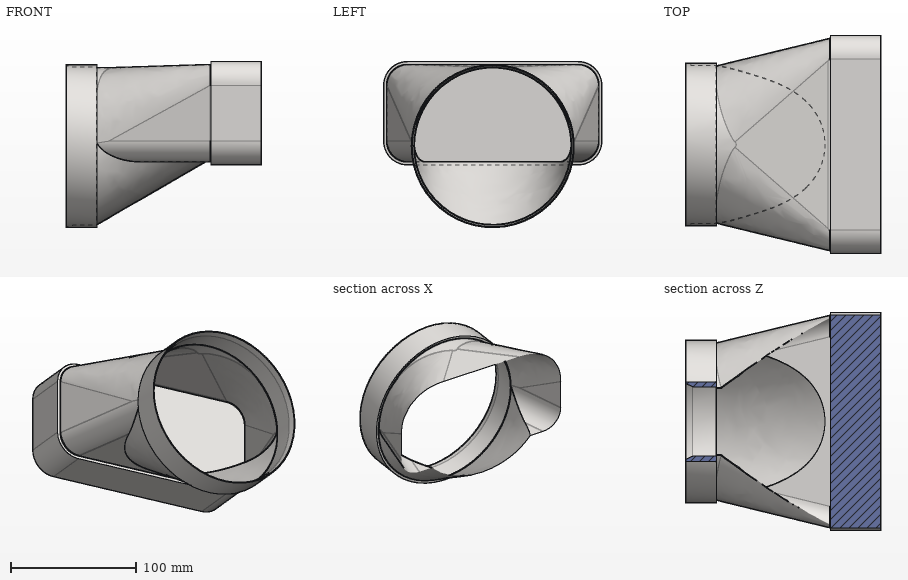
import cadquery as cq
import math


ROUND_RADIUS = 65.0
ROUND_LENGTH = 24.6
SOCKET_RADIUS = 63.0
SOCKET_DEPTH = 24.0
MOUTH_RADIUS = 64.2
MOUTH_LENGTH = 5.6

TOTAL_LENGTH = 155.5
FLAT_WIDTH = 174.06
FLAT_TOP = 67.48
FLAT_HEIGHT = 82.48
FLAT_CORNER = 19.0
FLAT_LENGTH = 40.2
FLAT_START = TOTAL_LENGTH - FLAT_LENGTH

BODY_RADIUS = 62.9
BODY_STEP = 2.25
BODY_WALL = 0.5
RIM_LENGTH = 0.5
BODY_START = ROUND_LENGTH
BODY_END = FLAT_START - RIM_LENGTH
BODY_LENGTH = BODY_END - BODY_START

TOP_APEX_RUN = 12.3
SIDE_APEX_RUN = 9.3
CROWN_DROP = 0.5
TOP_LEDGE = 1.2

RAMP_HALF_WIDTH = 55.0
RAMP_RISE = 2.2


def along_x(x):
    """Workplane across the duct: local x is +Y, local y is +Z."""
    return cq.Workplane("YZ", origin=(x, 0, 0))


def rounded_block(x, length, inset):
    """Flat collar outline, shrunk by inset, extruded along X."""
    width = FLAT_WIDTH - 2 * inset
    height = FLAT_HEIGHT - 2 * inset
    return (
        along_x(x)
        .center(0, FLAT_TOP - FLAT_HEIGHT / 2)
        .rect(width, height)
        .extrude(length)
        .edges("|X")
        .fillet(FLAT_CORNER - inset)
    )


def planar_face(*points):
    return cq.Face.makeFromWires(cq.Wire.makePolygon(points, close=True))


def upper_half(inset):
    """Body on the +Y side, square below: top triangle, corner sweep and side."""
    radius = BODY_RADIUS - inset
    offset = BODY_STEP + inset
    half_width = FLAT_WIDTH / 2 - offset
    top = FLAT_TOP - offset
    floor = FLAT_TOP - FLAT_HEIGHT + offset
    corner = FLAT_CORNER - offset
    corner_y = half_width - corner
    corner_z = top - corner
    low_corner_z = floor + corner

    inner_y = -corner_y * TOP_APEX_RUN / (BODY_LENGTH - TOP_APEX_RUN)
    crown_z = radius - CROWN_DROP
    top_slope = (top - crown_z) / (BODY_LENGTH - TOP_LEDGE)
    end_top_z = crown_z + top_slope * BODY_LENGTH
    side_slope = (corner_z - low_corner_z) / (BODY_LENGTH - SIDE_APEX_RUN)
    side_z = corner_z - side_slope * BODY_LENGTH

    diagonal = math.sqrt(0.5)
    start_crown = cq.Vector(BODY_START, inner_y, crown_z)
    start_side = cq.Vector(BODY_START, radius, side_z)
    start_foot = cq.Vector(BODY_START, radius, floor)
    start_inner = cq.Vector(BODY_START, inner_y, floor)
    end_crown = cq.Vector(BODY_END, corner_y, end_top_z)
    end_middle = cq.Vector(BODY_END, corner_y + corner * diagonal, corner_z + corner * diagonal)
    end_side = cq.Vector(BODY_END, half_width, corner_z)
    end_foot = cq.Vector(BODY_END, half_width, floor)
    end_inner = cq.Vector(BODY_END, inner_y, floor)
    end_top = cq.Vector(BODY_END, inner_y, end_top_z)

    start_curve = cq.Edge.makeSpline(
        [
            start_crown,
            cq.Vector(BODY_START, radius * diagonal, radius * diagonal),
            start_side,
        ],
        tangents=[cq.Vector(0, 1, 0), cq.Vector(0, 0, -1)],
    )
    end_curve = cq.Edge.makeThreePointArc(end_crown, end_middle, end_side)
    start_lines = cq.Wire.makePolygon([start_side, start_foot, start_inner, start_crown])
    end_lines = cq.Wire.makePolygon([end_side, end_foot, end_inner, end_top, end_crown])
    faces = [
        cq.Face.makeRuledSurface(start_curve, end_curve),
        cq.Face.makeFromWires(cq.Wire.assembleEdges([start_curve] + start_lines.Edges())),
        cq.Face.makeFromWires(cq.Wire.assembleEdges([end_curve] + end_lines.Edges())),
        planar_face(start_crown, end_crown, end_top),
        planar_face(start_side, end_side, end_foot, start_foot),
        planar_face(start_foot, end_foot, end_inner, start_inner),
        planar_face(start_inner, end_inner, end_top, start_crown),
    ]
    hull = cq.Workplane(cq.Solid.makeSolid(cq.Shell.makeShell(faces)))

    keeper = (
        cq.Workplane("XY", origin=(0, 0, floor))
        .polyline([(BODY_START, 0), (BODY_END, 0), (BODY_END, half_width), (BODY_START, radius)])
        .close()
        .extrude(top - floor)
        .faces("<Z")
        .edges(">Y")
        .fillet(corner)
    )
    return hull.intersect(keeper)


def ramp(inset):
    """Cone from the round end up to the body's floor at the flat end."""
    radius = BODY_RADIUS - inset
    bottom = FLAT_TOP - FLAT_HEIGHT + BODY_STEP + inset + RAMP_RISE
    return (
        along_x(BODY_START)
        .circle(radius)
        .workplane(offset=BODY_LENGTH)
        .center(0, (radius + bottom) / 2)
        .ellipse(RAMP_HALF_WIDTH - inset, (radius - bottom) / 2)
        .loft(ruled=True)
    )


def body(inset):
    """Filled body, shrunk by inset."""
    half = upper_half(inset)
    rim = rounded_block(BODY_END, RIM_LENGTH, BODY_STEP + inset)
    return half.union(half.mirror("XZ")).union(ramp(inset)).union(rim)


def round_collar():
    collar = along_x(0).circle(ROUND_RADIUS).circle(BODY_RADIUS - BODY_WALL).extrude(ROUND_LENGTH)
    socket = along_x(0).circle(SOCKET_RADIUS).extrude(SOCKET_DEPTH)
    mouth = (
        along_x(0)
        .circle(MOUTH_RADIUS)
        .workplane(offset=MOUTH_LENGTH)
        .circle(SOCKET_RADIUS)
        .loft(ruled=True)
    )
    return collar.cut(socket).cut(mouth)


shell = body(0).cut(body(BODY_WALL))
flat_collar = rounded_block(FLAT_START, FLAT_LENGTH, 0)
result = shell.union(round_collar()).union(flat_collar)